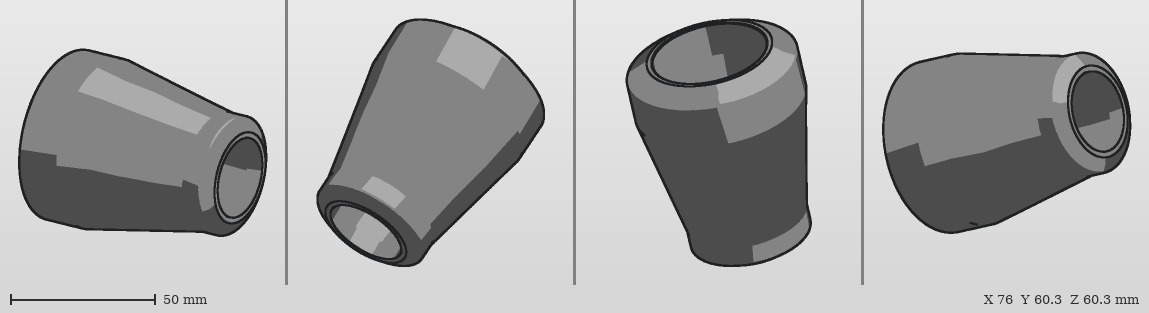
import cadquery as cq
import math

total_length = 76.0
large_collar_length = 20.0
small_collar_length = 9.95
large_bore_length = 12.3
small_bore_length = 6.15

large_diameter = 60.3
large_face_diameter = 44.2
small_diameter = 42.4
small_face_diameter = 32.2

large_bore = 40.3
small_bore = 28.2

bevel_angle = 30.0
edge_radius = 1.0
bore_mouth_chamfer = 0.3


def bevel_length(collar_diameter, face_diameter):
    """Axial length of an end bevel."""
    bevel_height = (collar_diameter - face_diameter) / 2
    return bevel_height * math.tan(math.radians(bevel_angle))


def revolve_about_x(profile):
    """Turn a closed half-section into a solid of revolution."""
    return profile.revolve(360, (0, 0, 0), (1, 0, 0))


def outer_body():
    """Solid reducer: two bevelled collars joined by a cone, with rounded joints."""
    large_bevel = bevel_length(large_diameter, large_face_diameter)
    small_bevel = bevel_length(small_diameter, small_face_diameter)
    profile = (
        cq.Workplane("XY")
        .lineTo(0, large_face_diameter / 2)
        .lineTo(large_bevel, large_diameter / 2)
        .lineTo(large_collar_length, large_diameter / 2)
        .lineTo(total_length - small_collar_length, small_diameter / 2)
        .lineTo(total_length - small_bevel, small_diameter / 2)
        .lineTo(total_length, small_face_diameter / 2)
        .lineTo(total_length, 0)
        .close()
    )
    body = revolve_about_x(profile)
    rounded_edges = body.edges("%CIRCLE").filter(
        lambda edge: edge_radius < edge.Center().x < total_length - edge_radius
    )
    return rounded_edges.fillet(edge_radius)


def bore():
    """Through bore: a cylinder at each end joined by a cone, with a chamfered large mouth."""
    profile = (
        cq.Workplane("XY")
        .lineTo(0, large_bore / 2 + bore_mouth_chamfer)
        .lineTo(bore_mouth_chamfer, large_bore / 2)
        .lineTo(large_bore_length, large_bore / 2)
        .lineTo(total_length - small_bore_length, small_bore / 2)
        .lineTo(total_length, small_bore / 2)
        .lineTo(total_length, 0)
        .close()
    )
    return revolve_about_x(profile)


result = outer_body().cut(bore())